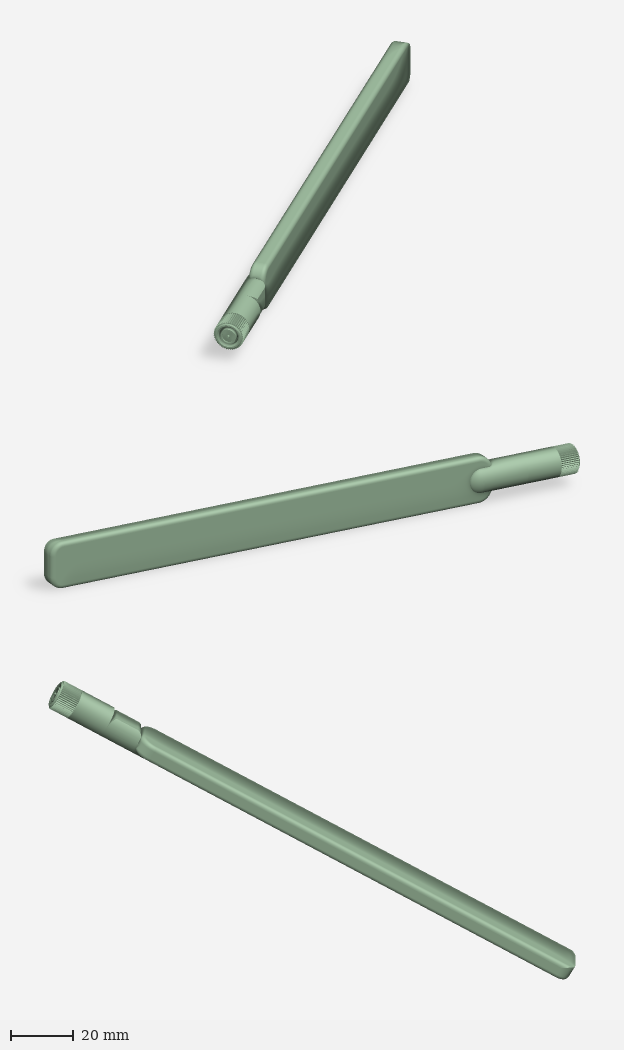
import cadquery as cq
import math


overall_length = 190.0
nut_start = 0.3
base_start = 7.3
arm_start = 19.3
barrel_radius = 5.0
pin_y = 24.45
dome_centre_y = 35.1

blade_width = 16.0
blade_thickness = 5.5
blade_start = 30.6
root_corner_radius = 5.2
tip_corner_radius = 4.2
blade_edge_radius = 1.4

neck_flat_x = 3.6
neck_corner_radius = 2.0
knuckle_radius = pin_y - arm_start

pin_radius = 0.85

ridge_count = 48
ridge_depth = 0.4
nut_end_ring_radius = 4.5
nut_end_ring_length = 0.5
nut_end_chamfer = 0.3
nut_bore_radius = 3.2
nut_bore_chamfer = 0.5

sleeve_radius = 2.6
sleeve_bore_radius = 2.1
sleeve_depth = 0.5
contact_pin_radius = 0.4


def cylinder_along_y(radius, start, end):
    """Round bar on the Y axis from start to end."""
    return cq.Workplane("XZ", origin=(0, start, 0)).circle(radius).extrude(start - end)


def blade_slab(length, end_corner_radius):
    """Flat slab with rounded corners at its root and at its far end."""
    slab = (
        cq.Workplane("XY")
        .box(blade_thickness, length, blade_width, centered=(True, False, True))
        .translate((0, blade_start, 0))
    )
    slab = slab.edges("|X and <Y").fillet(root_corner_radius)
    return slab.edges("|X and >Y").fillet(end_corner_radius)


def make_blade():
    """Blade rounded all round on -X, and on +X along its sides and root but not at its tip."""
    length = overall_length - blade_start
    side_rounding = blade_slab(length + blade_width, tip_corner_radius)
    side_rounding = side_rounding.faces(">X").edges().fillet(blade_edge_radius)
    blade = blade_slab(length, tip_corner_radius)
    blade = blade.faces("<X").edges().fillet(blade_edge_radius)
    return blade.intersect(side_rounding)


def make_neck():
    """Domed barrel, flat on +X, whose lower +X corner is round about the hinge pin."""
    barrel = cylinder_along_y(barrel_radius, arm_start, dome_centre_y)
    dome = cq.Workplane("XY").sphere(barrel_radius).translate((0, dome_centre_y, 0))
    dome_top = dome_centre_y + barrel_radius
    knuckle_end_y = pin_y - math.sqrt(knuckle_radius**2 - neck_flat_x**2)
    profile = (
        cq.Workplane("XY")
        .moveTo(-barrel_radius, arm_start)
        .lineTo(0, arm_start)
        .radiusArc((neck_flat_x, knuckle_end_y), -knuckle_radius)
        .lineTo(neck_flat_x, blade_start - neck_corner_radius)
        .radiusArc((neck_flat_x - neck_corner_radius, blade_start), -neck_corner_radius)
        .lineTo(0, blade_start)
        .lineTo(0, dome_top)
        .lineTo(-barrel_radius, dome_top)
        .close()
        .extrude(barrel_radius, both=True)
    )
    return barrel.union(dome).intersect(profile)


def make_pin():
    """Hinge pin, flush with the barrel at both ends."""
    rod = cq.Workplane("XY").center(0, pin_y).circle(pin_radius).extrude(barrel_radius, both=True)
    return rod.intersect(cylinder_along_y(barrel_radius, arm_start, blade_start))


def ridged_outline():
    """Corner points of a closed ring of V-shaped ridges, tips and roots in turn."""
    half_step = math.pi / ridge_count
    points = []
    for corner in range(2 * ridge_count):
        radius = barrel_radius - ridge_depth * (corner % 2)
        angle = corner * half_step
        points.append((radius * math.cos(angle), radius * math.sin(angle)))
    return points


def make_nut():
    """Knurled nut with a smooth ring at its open end and a chamfered bore."""
    ridges_start = nut_start + nut_end_ring_length
    ridges = (
        cq.Workplane("XZ", origin=(0, ridges_start, 0))
        .polyline(ridged_outline())
        .close()
        .extrude(ridges_start - base_start)
    )
    end_ring = cylinder_along_y(nut_end_ring_radius, nut_start, ridges_start)
    end_ring = end_ring.faces("<Y").chamfer(nut_end_chamfer)
    bore = cylinder_along_y(nut_bore_radius, nut_start, base_start)
    nut = ridges.union(end_ring).cut(bore)
    bore_rim = nut.faces("<Y").edges(cq.selectors.RadiusNthSelector(0))
    return bore_rim.chamfer(nut_bore_chamfer)


def make_contact():
    """Sleeve with a shallow recess, out of which the centre pin stands."""
    face_y = nut_start + sleeve_depth
    sleeve = cylinder_along_y(sleeve_radius, nut_start, base_start)
    recess = cylinder_along_y(sleeve_bore_radius, nut_start, face_y)
    centre_pin = cylinder_along_y(contact_pin_radius, 0, base_start)
    return sleeve.cut(recess).union(centre_pin)


pin = make_pin()
arm = make_blade().union(make_neck()).cut(pin)
base = cylinder_along_y(barrel_radius, base_start, arm_start)
nut = make_nut()
contact = make_contact()

result = cq.Compound.makeCompound([arm.val(), pin.val(), base.val(), nut.val(), contact.val()])